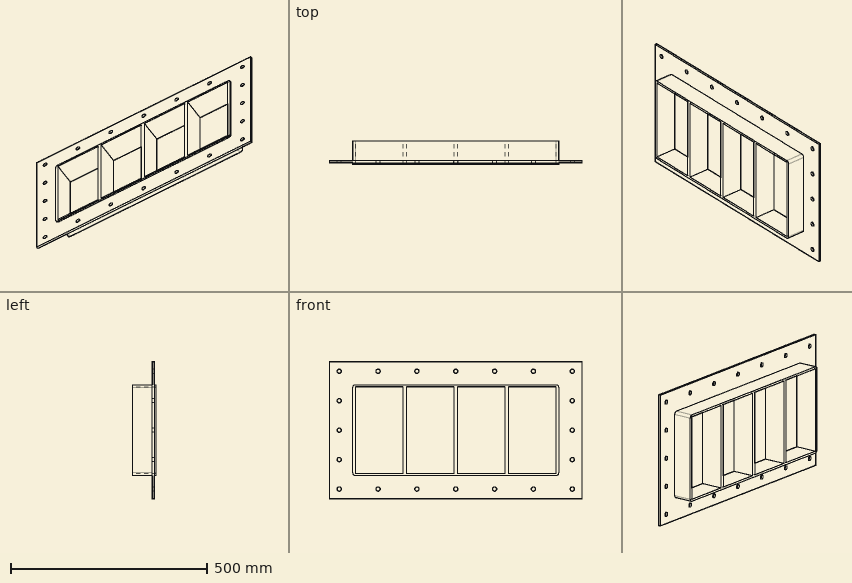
import cadquery as cq

plate_width = 644.0
plate_height = 350.0
plate_thickness = 6.0

frame_width = 525.0
frame_height = 231.0
frame_depth = 60.0
frame_corner_radius = 7.0
frame_front_lip = 4.0

window_count = 4
window_width = 120.5
window_height = 220.0
divider_thickness = 9.5

bolt_diameter = 10.0
bolt_span_x = 594.0
bolt_span_z = 300.0
bolts_per_row = 7
bolts_per_column = 5


def evenly_spaced(count, pitch):
    """Positions of a row of features centred on zero."""
    return [(i - (count - 1) / 2) * pitch for i in range(count)]


def block(width, depth, height, front):
    """Box centred in X and Z that runs toward +Y from its front face."""
    return cq.Workplane("XY").box(width, depth, height, centered=(True, False, True)).translate((0, front, 0))


def bolt_points():
    """Hole centres on the border, with each corner listed once."""
    columns = evenly_spaced(bolts_per_row, bolt_span_x / (bolts_per_row - 1))
    rows = evenly_spaced(bolts_per_column, bolt_span_z / (bolts_per_column - 1))
    long_sides = [(x, z) for x in columns for z in (rows[0], rows[-1])]
    short_sides = [(x, z) for x in (columns[0], columns[-1]) for z in rows[1:-1]]
    return long_sides + short_sides


plate = block(plate_width, plate_thickness, plate_height, frame_front_lip)
bolt_holes = (
    cq.Workplane("XZ")
    .pushPoints(bolt_points())
    .circle(bolt_diameter / 2)
    .extrude(-frame_depth)
)

frame = block(frame_width, frame_depth, frame_height, 0).edges("|Y").fillet(frame_corner_radius)

windows = (
    cq.Workplane("XZ")
    .pushPoints([(x, 0) for x in evenly_spaced(window_count, window_width + divider_thickness)])
    .rect(window_width, window_height)
    .extrude(-frame_depth)
)

result = plate.cut(bolt_holes).union(frame).cut(windows)